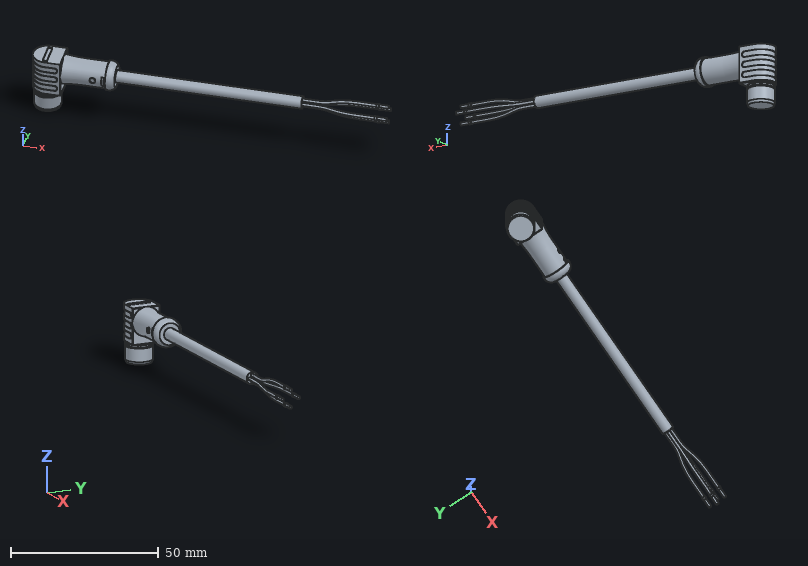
import cadquery as cq
import math


total_length = 124.3
total_height = 20.5

head_width = 10.3
nose_radius = head_width / 2
head_height = 13.0
head_back = 5.7
head_chamfer = 0.2
head_top = nose_radius
head_bottom = head_top - head_height
left_end = -nose_radius
right_end = left_end + total_length

groove_count = 3
groove_pitch = 3.6
groove_width = 2.0
groove_depth = 0.2
groove_end = 4.5
middle_groove_z = head_top - 6.6

label_length = 1.5
label_width = 8.0
label_depth = 0.2
label_x = -0.1

plug_diameter = 9.6
plug_bottom = head_top - total_height
plug_chamfer_height = 1.0
plug_chamfer_inset = 0.4
neck_diameter = 8.2
neck_height = 0.6
plug_groove_diameter = 9.2
plug_groove_height = 0.4
plug_groove_z = head_bottom - 1.7

sleeve_root_diameter = 10.3
sleeve_diameter = 9.3
sleeve_flare_end = 12.4
collar_diameter = 10.3
collar_start = 21.1
collar_end = 21.9
sleeve_end = 24.1
sleeve_end_diameter = 7.7

dimple_diameter = 2.0
dimple_x = 16.7
pocket_depth = 0.4
mark_length = 0.9
mark_height = 3.5
mark_x = 20.1

cable_diameter = 4.4
cable_end = 89.0
wire_diameter = 1.07
wire_inner_offset = 1.06
wire_spread = 2.0
wire_outer_offset = wire_inner_offset + wire_spread
wire_count = 4
bend_start = 94.5
bend_middle = 99.0
bend_end = 107.9
ring_diameter = 1.4
ring_start = 115.0
ring_end = 115.8
tip_diameter = 1.06

embed = 1.2


def nose_outline(inset, back):
    """D-shaped outline, offset inwards by inset on the nose and sides."""
    radius = nose_radius - inset
    return (
        cq.Workplane("XY")
        .moveTo(back, -radius)
        .lineTo(0, -radius)
        .threePointArc((-radius, 0), (0, radius))
        .lineTo(back, radius)
        .close()
    )


def x_cylinder(diameter, start, end, offset=0.0):
    """Cylinder along X whose axis lies at height Z = offset."""
    return (
        cq.Workplane("YZ", origin=(start, 0, offset))
        .circle(diameter / 2)
        .extrude(end - start)
    )


def z_cylinder(diameter, bottom, top):
    return cq.Workplane("XY", origin=(0, 0, bottom)).circle(diameter / 2).extrude(top - bottom)


def grip_groove(z):
    """Shallow groove around the nose with round ends on both flat sides."""
    end_centre = groove_end - groove_width / 2
    band_length = end_centre + nose_radius
    across = cq.Workplane("XZ", origin=(end_centre, head_width / 2, z))
    band = across.center(-band_length / 2, 0).rect(band_length, groove_width).extrude(head_width)
    round_end = across.circle(groove_width / 2).extrude(head_width)
    core = nose_outline(groove_depth, head_back).extrude(head_height)
    return band.union(round_end).cut(core.translate((0, 0, head_bottom)))


def make_head():
    head = nose_outline(0, head_back).extrude(head_height).translate((0, 0, head_bottom))
    head = head.faces(">X or <Z").edges().chamfer(head_chamfer)
    for index in range(groove_count):
        z = middle_groove_z + (index - (groove_count - 1) / 2) * groove_pitch
        head = head.cut(grip_groove(z))
    label = cq.Workplane("XY").box(label_length, label_width, 2 * label_depth)
    return head.cut(label.translate((label_x, 0, head_top)))


def make_plug():
    plug_top = head_bottom - neck_height
    plug = z_cylinder(plug_diameter, plug_bottom, plug_top)
    plug = plug.faces("<Z").chamfer(plug_chamfer_height, plug_chamfer_inset)
    plug_groove_top = plug_groove_z + plug_groove_height
    groove_core = z_cylinder(plug_groove_diameter, plug_groove_z, plug_groove_top)
    groove_ring = z_cylinder(plug_diameter, plug_groove_z, plug_groove_top).cut(groove_core)
    neck = z_cylinder(neck_diameter, plug_top, head_bottom)
    return plug.cut(groove_ring).union(neck)


def make_sleeve():
    core_start = head_back - embed
    end_run = sleeve_end - collar_end
    end_drop = (collar_diameter - sleeve_end_diameter) / 2
    end_arc_radius = (end_run**2 + end_drop**2) / (2 * end_drop)
    half_angle = math.asin(end_run / end_arc_radius) / 2
    end_arc_middle = (
        collar_end + end_arc_radius * math.sin(half_angle),
        collar_diameter / 2 - end_arc_radius * (1 - math.cos(half_angle)),
    )
    profile = (
        cq.Workplane("XZ")
        .moveTo(collar_start, sleeve_diameter / 2)
        .lineTo(sleeve_flare_end, sleeve_diameter / 2)
        .tangentArcPoint((head_back, sleeve_root_diameter / 2), relative=False)
        .lineTo(core_start, sleeve_root_diameter / 2)
        .lineTo(core_start, 0)
        .lineTo(sleeve_end, 0)
        .lineTo(sleeve_end, sleeve_end_diameter / 2)
        .threePointArc(end_arc_middle, (collar_end, collar_diameter / 2))
        .lineTo(collar_start, collar_diameter / 2)
        .close()
    )
    sleeve = profile.revolve(360, (0, 0, 0), (1, 0, 0))
    pocket_floor = -sleeve_diameter / 2 + pocket_depth
    pocket_plane = cq.Workplane("XZ", origin=(0, pocket_floor, 0))
    dimple = pocket_plane.center(dimple_x, 0).circle(dimple_diameter / 2).extrude(head_width)
    mark = pocket_plane.center(mark_x, 0).rect(mark_length, mark_height).extrude(head_width)
    return sleeve.cut(dimple).cut(mark)


def make_wire():
    """Wire in the XZ plane: straight, S-bend outwards, ringed and stripped end."""
    bend_share = (bend_middle - bend_start) / (bend_end - bend_start)
    middle_offset = wire_inner_offset + bend_share * wire_spread
    wire_start = cable_end - embed
    path = (
        cq.Workplane("XZ")
        .moveTo(wire_start, wire_inner_offset)
        .lineTo(bend_start, wire_inner_offset)
        .tangentArcPoint((bend_middle, middle_offset), relative=False)
        .tangentArcPoint((bend_end, wire_outer_offset), relative=False)
        .lineTo(ring_start, wire_outer_offset)
    )
    wire = (
        cq.Workplane("YZ", origin=(wire_start, 0, wire_inner_offset))
        .circle(wire_diameter / 2)
        .sweep(path)
    )
    ring = x_cylinder(ring_diameter, ring_start, ring_end, wire_outer_offset)
    tip = x_cylinder(tip_diameter, ring_end, right_end, wire_outer_offset)
    return wire.union(ring).union(tip)


cable = x_cylinder(cable_diameter, sleeve_end - embed, cable_end)
result = make_head().union(make_plug()).union(make_sleeve()).union(cable)
wire = make_wire()
for index in range(wire_count):
    result = result.union(wire.rotate((0, 0, 0), (1, 0, 0), index * 360 / wire_count))